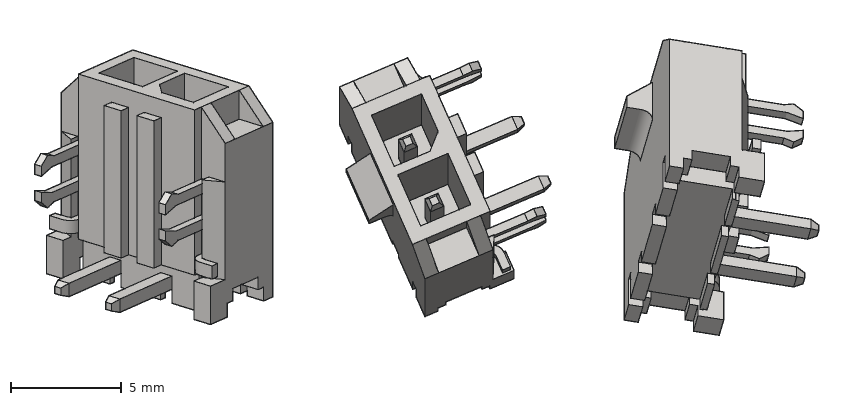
import cadquery as cq

total_width = 9.65
half_width = total_width / 2
total_height = 9.9
shell_depth = 3.83
core_half_width = 3.42
shoulder_drop = half_width - core_half_width
shoulder_height = total_height - shoulder_drop
flange_setback = 0.48
wall = 0.68

cavity_width = 2.57
cavity_floor = 2.97
cavity_key = 0.7

base_height = 1.87
base_setback = 0.31
foot_height = 0.67
rear_foot_depth = 0.65
front_foot_start = 0.63
front_foot_reach = 0.56
side_notch_width = 1.77
side_notch_inset = 1.04
side_notch_top = 1.28

clip_thickness = 0.4
ear_inner = 3.85
clip_inner = ear_inner - clip_thickness
ear_top = 6.61
slot_top = 1.71

prong_mid_height = 5.31
prong_inner = 0.62
prong_outer = 1.12
barb_outer = 1.28
barb_start_reach = 1.66
bend_start_reach = 1.82
barb_reach = 2.12
prong_reach = 2.56
nose_outer = 0.88
nose_inner = 0.39

tab_bottom = 2.15
tab_height = 0.64
tab_end = 4.78
tab_reach = 0.41
tab_inner_radius = 0.24

rib_width = 1.0
rib_offset = 0.96
rib_reach = 0.52
rib_top = 9.03

latch_gap = 0.02
latch_width = 2.58
latch_reach = 1.21
latch_top = 9.37
latch_nose_height = 0.75
latch_fillet = 0.54

pin_size = 0.65
pin_tail_reach = 3.75
pin_taper = 0.41
pin_tip_size = 0.36
pin_top = 7.425
pin_pitch = 2.99
pin_positions = (-pin_pitch / 2, pin_pitch / 2)


def block(x_range, y_range, z_range):
    """Box between the two given limits on each axis."""
    size = [high - low for low, high in (x_range, y_range, z_range)]
    corner = (x_range[0], y_range[0], z_range[0])
    return cq.Workplane("XY").box(*size, centered=False).translate(corner)


def centred(middle, width):
    """Limits of a stretch of the given width around its middle."""
    return (middle - width / 2, middle + width / 2)


def both_sides(shape):
    """The shape on the +X side together with its mirror image on the -X side."""
    return shape.union(shape.mirror("YZ"))


def make_side():
    """Flange with its sloping shoulder, ear and front foot on the +X side."""
    flange = (
        cq.Workplane("XZ", origin=(0, flange_setback, 0))
        .polyline([
            (0, 0),
            (half_width, 0),
            (half_width, shoulder_height),
            (core_half_width, total_height),
            (0, total_height),
        ])
        .close()
        .extrude(flange_setback - shell_depth)
    )
    ear = (
        cq.Workplane("XY", origin=(0, 0, base_height))
        .polyline([(ear_inner, flange_setback), (half_width, flange_setback), (ear_inner, 0)])
        .close()
        .extrude(ear_top - base_height)
    )
    foot = block((ear_inner, half_width), (-front_foot_reach, front_foot_start), (0, base_height))
    return flange.union(ear).union(foot)


def make_shell():
    core_x = (-core_half_width, core_half_width)
    core = block(core_x, (0, shell_depth), (base_height, total_height))
    base = block(core_x, (base_setback, shell_depth), (0, base_height))
    return core.union(base).union(both_sides(make_side()))


def cut_underside(shell):
    """Gap between the feet, clip slots, side notches and the channels below the pins."""
    full_depth = (0, shell_depth)
    foot_gap = block(
        (-half_width, half_width),
        (front_foot_start, shell_depth - rear_foot_depth),
        (0, foot_height),
    )
    clip_slot = block((clip_inner, ear_inner), (flange_setback, shell_depth), (0, slot_top))
    notch_rear = shell_depth - side_notch_inset
    side_notch = block(
        (ear_inner, half_width), (notch_rear - side_notch_width, notch_rear), (0, side_notch_top)
    )
    shell = shell.cut(foot_gap).cut(both_sides(clip_slot.union(side_notch)))
    for pin_x in pin_positions:
        shell = shell.cut(block(centred(pin_x, pin_size), full_depth, (0, foot_height)))
    return shell


def cut_shoulder_pockets(shell):
    pocket = block(
        (core_half_width, half_width),
        (flange_setback + wall, shell_depth - wall),
        (shoulder_height, total_height),
    )
    return shell.cut(both_sides(pocket))


def cut_cavities(shell):
    """Mating cavities; the one on the +X side has a keyed corner."""
    for pin_x in pin_positions:
        cavity = block(
            centred(pin_x, cavity_width), (wall, shell_depth - wall), (cavity_floor, total_height)
        )
        if pin_x > 0:
            cavity = cavity.edges("|Z and <X and <Y").chamfer(cavity_key)
        shell = shell.cut(cavity)
    return shell


def make_rib(x):
    return block(centred(x, rib_width), (-rib_reach, 0), (base_height, rib_top))


def make_prongs():
    """Two barbed prongs on the +X side, mirrored about the plane between them."""
    upper = (
        cq.Workplane("YZ", origin=(clip_inner, 0, prong_mid_height))
        .polyline([
            (flange_setback, prong_inner),
            (flange_setback, prong_outer),
            (-barb_start_reach, prong_outer),
            (-barb_reach, barb_outer),
            (-prong_reach, nose_outer),
            (-prong_reach, nose_inner),
            (-bend_start_reach, prong_inner),
        ])
        .close()
        .extrude(clip_thickness)
    )
    return upper.union(upper.mirror("XY", (0, 0, prong_mid_height)))


def make_tab():
    """Strip on the +X side that comes forward and bends outward."""
    tab_rear = clip_thickness - tab_reach
    strip = (
        cq.Workplane("XY", origin=(0, 0, tab_bottom))
        .polyline([
            (clip_inner, flange_setback),
            (clip_inner, -tab_reach),
            (tab_end, -tab_reach),
            (tab_end, tab_rear),
            (ear_inner, tab_rear),
            (ear_inner, flange_setback),
        ])
        .close()
        .extrude(tab_height)
    )
    inner_corner = cq.NearestToPointSelector((ear_inner, tab_rear, tab_bottom + tab_height / 2))
    strip = strip.edges("|Z").edges("<X").edges("<Y").fillet(tab_inner_radius + clip_thickness)
    return strip.edges("|Z").edges(inner_corner).fillet(tab_inner_radius)


def make_bar(plane, origin, length):
    """Square bar with a tapered tip, along the normal of the plane."""
    shank = length - pin_taper
    bar = cq.Workplane(plane, origin=origin).rect(pin_size, pin_size).extrude(shank)
    tip = (
        cq.Workplane(plane, origin=origin)
        .workplane(offset=shank)
        .rect(pin_size, pin_size)
        .workplane(offset=pin_taper)
        .rect(pin_tip_size, pin_tip_size)
        .loft()
    )
    return bar.union(tip)


def make_pin(x):
    """L-shaped contact: a post up into the cavity and a tail out of the front."""
    post_y = shell_depth / 2
    elbow_y = post_y + pin_size / 2
    post = make_bar("XY", (x, post_y, foot_height), pin_top - foot_height)
    tail = make_bar("XZ", (x, elbow_y, foot_height + pin_size / 2), elbow_y + pin_tail_reach)
    return post.union(tail)


def make_housing():
    housing = cut_cavities(cut_shoulder_pockets(cut_underside(make_shell())))
    housing = housing.union(both_sides(make_prongs().union(make_tab())))
    for rib_x in (-rib_offset, rib_offset):
        housing = housing.union(make_rib(rib_x))
    for pin_x in pin_positions:
        housing = housing.union(make_pin(pin_x))
    return housing


def make_latch():
    """Ramp with a 45 degree top and a concave fillet underneath."""
    root_y = shell_depth + latch_gap
    nose_y = shell_depth + latch_reach
    nose_top = latch_top - (nose_y - root_y)
    nose_bottom = nose_top - latch_nose_height
    return (
        cq.Workplane("YZ", origin=(-latch_width / 2, 0, 0))
        .moveTo(root_y, latch_top)
        .lineTo(nose_y, nose_top)
        .lineTo(nose_y, nose_bottom)
        .lineTo(root_y + latch_fillet, nose_bottom)
        .radiusArc((root_y, nose_bottom - latch_fillet), -latch_fillet)
        .close()
        .extrude(latch_width)
    )


housing = make_housing()
latch = make_latch()
result = cq.Compound.makeCompound([housing.solids().val(), latch.val()])